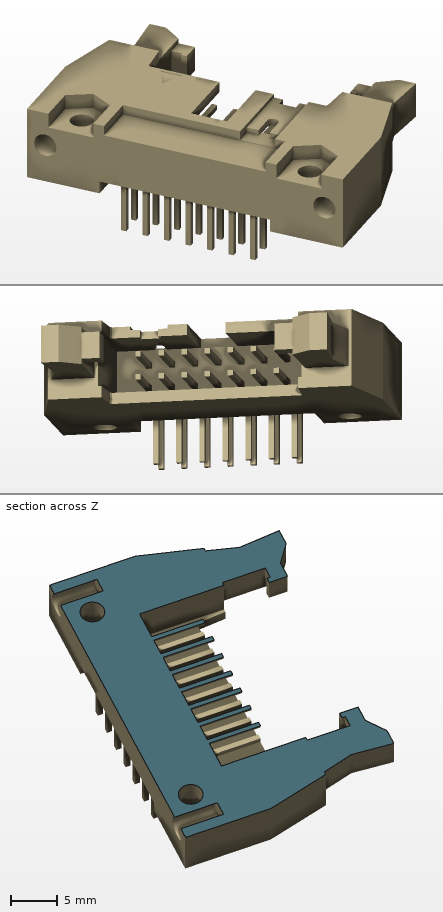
import cadquery as cq


width = 37.4
height = 8.5
mid_z = -height / 2
side_length = 10.05
ear_end_y = 17.35
ear_outer_x = 16.75
ear_inner_x = 10.85
ear_root_x = 10.6
mouth_y = 13.88
root_chamfer = 0.2

wall = 1.25
cavity_half_width = 11.22
cavity_back_y = 7.45

contact_count = 7
pitch = 2.55
contact_width = 0.6
contact_end_y = 13.45
front_row_y = 1.15
total_height = 13.0
base_recess_width = 20.2
base_recess_depth = 1.45

pocket_half_width = 9.57
pocket_length = 5.0
pocket_depth = 1.15
key_slot_width = 4.25
key_slot_start_y = 6.4
channel_x = 6.35
channel_width = 4.1
channel_depth = 0.4
channel_step_y = 6.7
channel_step_depth = 1.1
notch_width = 2.0
notch_length = 1.0
relief_width = 1.3
relief_end_y = 9.65
marker_x = -7.65
marker_width = 2.55
marker_tip_y = 11.07
marker_end_y = 13.5
marker_depth = 0.1

hole_diameter = 2.6
mount_x = 13.5
mount_y = 2.85
nut_width = 5.3
nut_shoulder_y = 4.4
nut_tip_y = 5.9
nut_depth = 1.72
front_hole_x = 16.53
front_hole_z = -4.0
front_hole_depth = 5.0

latch_height = 4.1
latch_inner_x = 11.65
latch_tip_inner_x = 13.85
latch_tip_outer_x = 15.8
latch_waist_x = 15.37
latch_root_x = 16.38
latch_end_y = 25.75
latch_waist_y = 20.95
latch_overlap = 0.75
hook_height = 2.9
hook_end_x = 9.65
hook_lip_x = 10.35
hook_top_y = 24.15
hook_bottom_y = 22.33
hook_lip_y = 21.95


def block(x_range, y_range, z_range):
    """Box between the given limits along each axis."""
    (x0, x1), (y0, y1), (z0, z1) = x_range, y_range, z_range
    return cq.Workplane("XY").box(x1 - x0, y1 - y0, z1 - z0, centered=False).translate((x0, y0, z0))


def span(center, size):
    """Limits of a length centred on a position."""
    return center - size / 2, center + size / 2


def prism(points, z_bottom, z_top):
    """Vertical prism over a closed XY outline."""
    return cq.Workplane("XY").workplane(offset=z_bottom).polyline(points).close().extrude(z_top - z_bottom)


def both_sides(shape):
    """The shape together with its mirror image across the YZ plane."""
    return shape.union(shape.mirror("YZ"))


def make_housing():
    right_half = [
        (width / 2, 0),
        (width / 2, side_length),
        (ear_outer_x, ear_end_y),
        (ear_inner_x, ear_end_y),
        (ear_root_x, mouth_y + root_chamfer),
        (ear_root_x - root_chamfer, mouth_y),
    ]
    left_half = [(-x, y) for x, y in reversed(right_half)]
    housing = prism(right_half + left_half, -height, 0)
    cavity = block(
        (-cavity_half_width, cavity_half_width),
        (cavity_back_y, ear_end_y),
        (-height + wall, -wall),
    )
    base_recess = block(
        span(0, base_recess_width),
        (0, pocket_length),
        (-height, -height + base_recess_depth),
    )
    return housing.cut(cavity).cut(base_recess)


def make_top_recesses():
    front_pocket = block((-pocket_half_width, pocket_half_width), (0, pocket_length), (-pocket_depth, 0))
    key_slot = block(span(0, key_slot_width), (key_slot_start_y, mouth_y), (-wall, 0))
    channel_span = span(channel_x, channel_width)
    channel = block(channel_span, (pocket_length, mouth_y), (-channel_depth, 0))
    step = block(channel_span, (pocket_length, channel_step_y), (-channel_step_depth, 0))
    notch = block(span(channel_x, notch_width), (mouth_y - notch_length, mouth_y), (-wall, 0))
    marker = prism(
        [
            (marker_x - marker_width / 2, marker_end_y),
            (marker_x + marker_width / 2, marker_end_y),
            (marker_x, marker_tip_y),
        ],
        -marker_depth,
        0,
    )
    recesses = front_pocket.union(key_slot).union(channel).union(step)
    return recesses.union(notch).union(marker).union(make_relief_slot())


def make_relief_slot():
    """Round-ended slot that opens the channel floor into the cavity."""
    radius = relief_width / 2
    arc_start_y = relief_end_y - radius

    def slot(depth):
        return (
            cq.Workplane("XY")
            .moveTo(channel_x - radius, channel_step_y)
            .lineTo(channel_x + radius, channel_step_y)
            .lineTo(channel_x + radius, arc_start_y)
            .threePointArc((channel_x, relief_end_y), (channel_x - radius, arc_start_y))
            .close()
            .extrude(-depth)
        )

    over_cavity = block(span(channel_x, relief_width), (cavity_back_y, relief_end_y), (-wall, 0))
    return slot(channel_step_depth).union(slot(wall).intersect(over_cavity))


def make_mounting_holes():
    radius = hole_diameter / 2
    half_nut = nut_width / 2
    nut_pocket = prism(
        [
            (mount_x - half_nut, 0),
            (mount_x + half_nut, 0),
            (mount_x + half_nut, nut_shoulder_y),
            (mount_x, nut_tip_y),
            (mount_x - half_nut, nut_shoulder_y),
        ],
        -nut_depth,
        0,
    )
    screw_hole = cq.Workplane("XY").center(mount_x, mount_y).circle(radius).extrude(-height)
    front_hole = (
        cq.Workplane("XZ")
        .center(front_hole_x, front_hole_z)
        .circle(radius)
        .extrude(-front_hole_depth)
    )
    return both_sides(nut_pocket.union(screw_hole).union(front_hole))


def make_latches():
    arm = prism(
        [
            (latch_inner_x, ear_end_y - latch_overlap),
            (latch_inner_x, hook_top_y),
            (latch_tip_inner_x, latch_end_y),
            (latch_tip_outer_x, latch_end_y),
            (latch_waist_x, latch_waist_y),
            (latch_root_x, ear_end_y),
            (latch_root_x, ear_end_y - latch_overlap),
        ],
        *span(mid_z, latch_height),
    )
    hook = prism(
        [
            (latch_inner_x, hook_top_y),
            (hook_end_x, hook_top_y),
            (hook_end_x, hook_lip_y),
            (hook_lip_x, hook_lip_y),
            (hook_lip_x, hook_bottom_y),
            (latch_inner_x, hook_bottom_y),
        ],
        *span(mid_z, hook_height),
    )
    return both_sides(arm.union(hook))


def make_contacts():
    """L-shaped contacts: the upper row bends down nearest the front face."""
    rows = [
        (front_row_y, mid_z + pitch / 2),
        (front_row_y + pitch, mid_z - pitch / 2),
    ]
    contacts = cq.Workplane("XY")
    for index in range(contact_count):
        x_range = span((index - (contact_count - 1) / 2) * pitch, contact_width)
        for leg_y, blade_z in rows:
            blade = block(x_range, (leg_y, contact_end_y), span(blade_z, contact_width))
            leg = block(x_range, span(leg_y, contact_width), (-total_height, blade_z))
            contacts = contacts.union(blade).union(leg)
    return contacts


housing = make_housing().cut(make_top_recesses()).cut(make_mounting_holes())
result = housing.union(make_latches()).union(make_contacts())